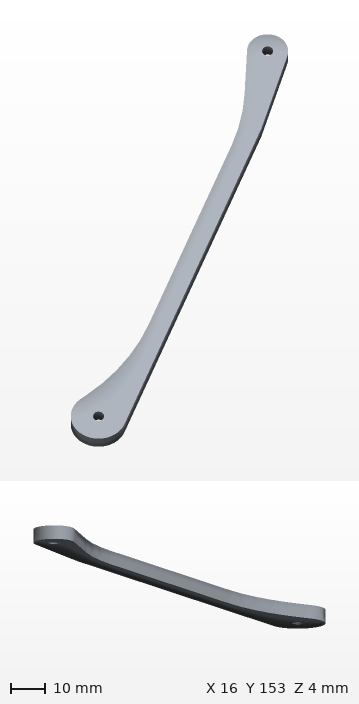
import cadquery as cq
import math

length = 153.0
thickness = 4.0
large_end_radius = 16.0 / 2
small_end_radius = 12.0 / 2
bar_width = 6.0
neck_radius = 60.0
hole_diameter = 3.2
large_end_angle = 30.0
small_end_angle = 18.0
right_flank_angle = 4.4

small_end_y = length - large_end_radius - small_end_radius
bar_right = large_end_radius
bar_left = bar_right - bar_width


def left_neck(end_y, end_radius, angle, toward_bar):
    """Points of a left flank: on the end circle, arc end, arc middle, arc start on the bar.

    The flank line touches both the end circle and the neck arc.
    toward_bar is +1 if the bar lies above the end and -1 if it lies below.
    """
    tilt = math.radians(angle)
    arc_x = bar_left - neck_radius
    rise = (end_radius + neck_radius + arc_x * math.cos(tilt)) / math.sin(tilt)
    arc_y = end_y + toward_bar * rise

    def on_arc(turn):
        return (
            arc_x + neck_radius * math.cos(turn),
            arc_y - toward_bar * neck_radius * math.sin(turn),
        )

    on_end = (
        -end_radius * math.cos(tilt),
        end_y + toward_bar * end_radius * math.sin(tilt),
    )
    return on_end, on_arc(tilt), on_arc(tilt / 2), on_arc(0)


large_flank, large_arc_end, large_arc_mid, large_arc_start = left_neck(
    0, large_end_radius, large_end_angle, 1
)
small_flank, small_arc_end, small_arc_mid, small_arc_start = left_neck(
    small_end_y, small_end_radius, small_end_angle, -1
)

right_tilt = math.radians(right_flank_angle)
right_tangent = (
    small_end_radius * math.cos(right_tilt),
    small_end_y + small_end_radius * math.sin(right_tilt),
)
right_bend_y = right_tangent[1] - (bar_right - right_tangent[0]) / math.tan(right_tilt)

outline = (
    cq.Workplane("XY")
    .moveTo(bar_right, 0)
    .lineTo(bar_right, right_bend_y)
    .lineTo(*right_tangent)
    .threePointArc((0, small_end_y + small_end_radius), small_flank)
    .lineTo(*small_arc_end)
    .threePointArc(small_arc_mid, small_arc_start)
    .lineTo(*large_arc_start)
    .threePointArc(large_arc_mid, large_arc_end)
    .lineTo(*large_flank)
    .threePointArc((0, -large_end_radius), (bar_right, 0))
    .close()
)
link = outline.extrude(thickness)

holes = (
    cq.Workplane("XY")
    .pushPoints([(0, 0), (0, small_end_y)])
    .circle(hole_diameter / 2)
    .extrude(thickness)
)

result = link.cut(holes)